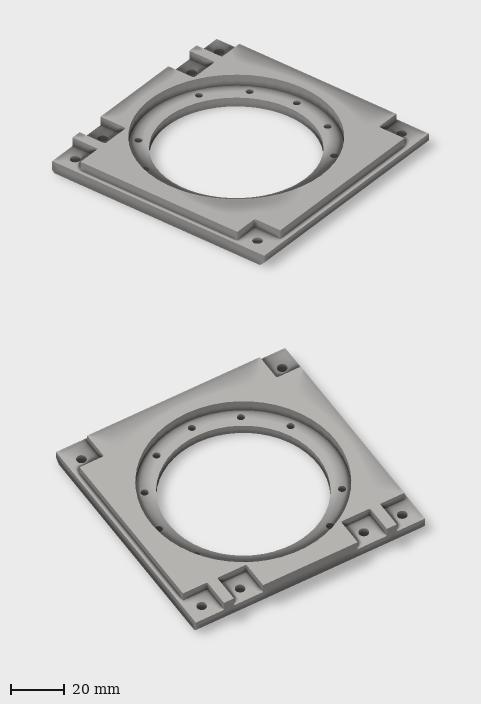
import cadquery as cq
import math

side = 100.0
height = 9.0
plate_height = 5.1
left_chamfer = 1.0
right_chamfer = 2.0

pad_right_margin = 2.0
pad_side_margin = 1.7
corner_radius = 0.5

notch_length = 12.0
corner_notch_reach = 12.3
side_notch_width = 12.7
side_hole_y = 27.0
corner_hole_y = 43.8
mount_hole_diameter = 4.0

bore_x = -2.0
bore_diameter = 65.0
seat_diameter = 80.5
seat_depth = 5.0
bolt_circle_diameter = 73.6
bolt_hole_diameter = 3.0
bolt_angles = [angle for angle in range(0, 360, 30) if angle not in (180, 270)]

half = side / 2
pad_right = half - pad_right_margin
left_hole_x = -half + notch_length / 2
right_hole_x = pad_right - notch_length / 2


def box_between(x_min, x_max, y_min, y_max, z_min, z_max):
    size = (x_max - x_min, y_max - y_min, z_max - z_min)
    return cq.Workplane("XY").box(*size, centered=False).translate((x_min, y_min, z_min))


def make_plate():
    plate = box_between(-half, half, -half, half, 0, plate_height)
    plate = plate.faces("<X").edges("<Z").chamfer(left_chamfer)
    return plate.faces(">X").edges("<Z").chamfer(right_chamfer)


def make_notch(center_x, y_min, y_max, rounded_edges):
    """Full-depth notch in the pad, rounded at its inner corners."""
    x_min = center_x - notch_length / 2
    x_max = center_x + notch_length / 2
    notch = box_between(x_min, x_max, y_min, y_max, plate_height, height)
    return notch.edges(rounded_edges).fillet(corner_radius)


def make_pad():
    pad_y = half - pad_side_margin
    pad = box_between(-half, pad_right, -pad_y, pad_y, plate_height, height)
    notch_y = half - corner_notch_reach
    side_min = side_hole_y - side_notch_width / 2
    side_max = side_hole_y + side_notch_width / 2
    notches = [
        make_notch(left_hole_x, notch_y, half, "|Z and >X and <Y"),
        make_notch(right_hole_x, notch_y, half, "|Z and <X and <Y"),
        make_notch(left_hole_x, side_min, side_max, "|Z and >X"),
    ]
    for notch in notches:
        pad = pad.cut(notch).cut(notch.mirror("XZ"))
    return pad


def make_holes(points, diameter):
    return cq.Workplane("XY").pushPoints(points).circle(diameter / 2).extrude(height)


mount_points = []
for y_sign in (-1, 1):
    mount_points.append((left_hole_x, y_sign * corner_hole_y))
    mount_points.append((right_hole_x, y_sign * corner_hole_y))
    mount_points.append((left_hole_x, y_sign * side_hole_y))

bolt_points = []
for angle in bolt_angles:
    radians = math.radians(angle)
    bolt_x = bore_x + bolt_circle_diameter / 2 * math.cos(radians)
    bolt_y = bolt_circle_diameter / 2 * math.sin(radians)
    bolt_points.append((bolt_x, bolt_y))

seat = make_holes([(bore_x, 0)], seat_diameter).translate((0, 0, height - seat_depth))

result = (
    make_plate()
    .union(make_pad())
    .cut(make_holes([(bore_x, 0)], bore_diameter))
    .cut(seat)
    .cut(make_holes(mount_points, mount_hole_diameter))
    .cut(make_holes(bolt_points, bolt_hole_diameter))
)